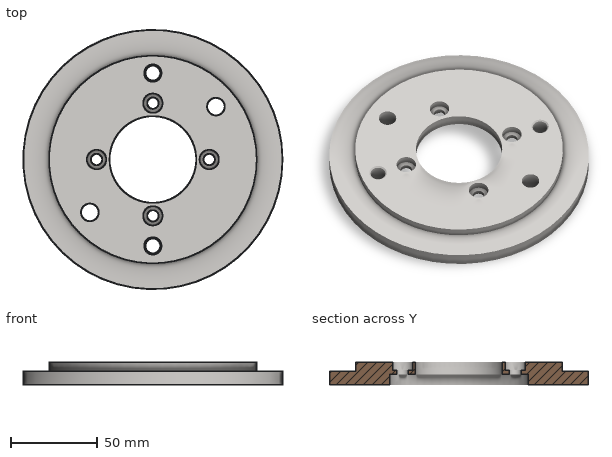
import cadquery as cq

flange_diameter = 150.0
flange_thickness = 8.0
step_diameter = 120.0
total_height = 13.0
bore_diameter = 50.0

web_thickness = 7.0
recess_diameter = 80.0
recess_depth = total_height - web_thickness

screw_circle_radius = 32.5
screw_count = 4
screw_hole_diameter = 6.5
counterbore_diameter = 11.2
counterbore_depth = 4.5

pair_count = 2

rim_hole_circle_radius = 50.0
rim_hole_angle = 90.0
rim_hole_diameter = 8.5
rim_countersink_diameter = 10.0
countersink_angle = 90.0

plain_hole_circle_radius = 47.5
plain_hole_angle = 40.0
plain_hole_diameter = 10.0


def top_hole_centers(body, circle_radius, start_angle, count):
    """Place evenly spaced points on a circle in the top plane."""
    top = body.faces(">Z").workplane(origin=(0, 0, total_height))
    return top.polarArray(circle_radius, start_angle, 360, count)


flange = cq.Workplane("XY").circle(flange_diameter / 2).extrude(flange_thickness)
step = cq.Workplane("XY").circle(step_diameter / 2).extrude(total_height)
body = flange.union(step)
body = body.faces(">Z").workplane().hole(bore_diameter)

recess = cq.Workplane("XY").circle(recess_diameter / 2).extrude(recess_depth)
body = body.cut(recess)

body = top_hole_centers(body, screw_circle_radius, 0, screw_count).cboreHole(
    screw_hole_diameter, counterbore_diameter, counterbore_depth
)
body = top_hole_centers(body, rim_hole_circle_radius, rim_hole_angle, pair_count).cskHole(
    rim_hole_diameter, rim_countersink_diameter, countersink_angle
)
body = top_hole_centers(body, plain_hole_circle_radius, plain_hole_angle, pair_count).hole(plain_hole_diameter)

result = body